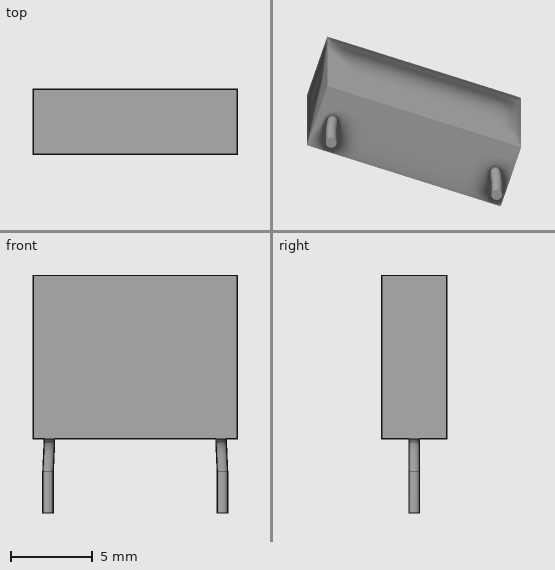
import cadquery as cq

BODY_LENGTH = 12.5
BODY_DEPTH = 4.0
TOTAL_HEIGHT = 14.53
LEAD_LENGTH = 4.53
BODY_HEIGHT = TOTAL_HEIGHT - LEAD_LENGTH

LEAD_DIAMETER = 0.65
ROOT_SPACING = 10.5
TIP_SPACING = 10.67
ROOT_LENGTH = 0.2
SPLAY_END_DEPTH = 1.99
TIP_LENGTH = LEAD_LENGTH - SPLAY_END_DEPTH


def make_body():
    """Box with its underside on the XY plane."""
    return cq.Workplane("XY").box(BODY_LENGTH, BODY_DEPTH, BODY_HEIGHT, centered=(True, True, False))


def make_lead(side):
    """One lead below the body; side is -1 for the -X lead and +1 for the +X lead."""
    radius = LEAD_DIAMETER / 2
    root_x = side * ROOT_SPACING / 2
    tip_x = side * TIP_SPACING / 2
    splay_length = SPLAY_END_DEPTH - ROOT_LENGTH

    root = cq.Workplane("XY").center(root_x, 0).circle(radius).extrude(-ROOT_LENGTH)
    splay = (
        cq.Workplane("XY", origin=(root_x, 0, -ROOT_LENGTH))
        .circle(radius)
        .workplane(offset=-splay_length)
        .center(tip_x - root_x, 0)
        .circle(radius)
        .loft(ruled=True)
    )
    tip = cq.Workplane("XY", origin=(tip_x, 0, -SPLAY_END_DEPTH)).circle(radius).extrude(-TIP_LENGTH)
    return root.union(splay).union(tip)


body = make_body()
leads = [make_lead(side) for side in (-1, 1)]

result = cq.Compound.makeCompound([body.val(), *[lead.solids().val() for lead in leads]])